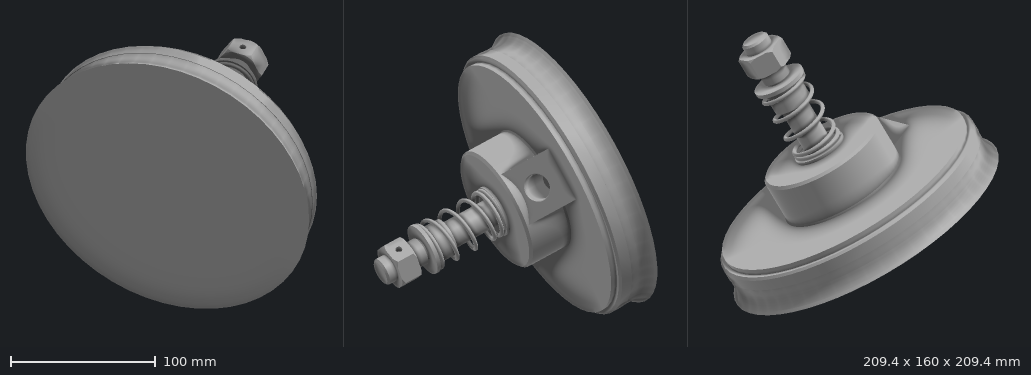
import cadquery as cq
import math


pad_radius = 104.7
edge_radius = 103.0
edge_height = 2.0
waist_radius = 200.0 / 2
waist_start = 11.5
body_radius = 200.9 / 2
body_start = 18.2
body_end = 28.0
body_chamfer = 1.7
plate_radius = 191.8 / 2
plate_top = 32.5

boss_radius = 90.0 / 2
boss_top = 65.3
boss_chamfer = 1.9
foot_flare = 0.8
foot_height = 1.5

port_angle = 120.0
port_width = 40.0
port_reach = 70.0
port_slope = 45.0
port_hole_diameter = 18.6
port_mouth_diameter = 20.0
port_mouth_angle = 45.0
port_hole_depth = 31.5
port_hole_reach = 54.2

stem_radius = 20.0 / 2
stem_end = 160.0
stem_chamfer = 1.5
neck_radius = 17.0 / 2
neck_end = 127.0
flange_radius = 37.5 / 2
flange_start = 122.3
flange_end = 125.2
sleeve_radius = 27.5 / 2
sleeve_start = 105.1
sleeve_step = 117.5
collar_radius = 26.5 / 2
washer_top = 67.6

nut_flats = 30.0
nut_start = 136.3
nut_end = 152.3
nut_turn = 3.0
nut_corner_chamfer = 1.7
nut_hole_diameter = 4.8

spring_radius = 16.8
wire_radius = 1.5
spring_start = 67.2
closed_pitch = 3.4
open_pitch = 15.3
closed_turns_low = 1.5
closed_turns_high = 0.5
blend_turns = 0.5
open_turns = 2.5
points_per_turn = 16


def cylinder(radius, start, end):
    """Cylinder about the Y axis between two heights."""
    return cq.Workplane("XZ", origin=(0, start, 0)).circle(radius).extrude(start - end)


def make_pad():
    """Revolved pad with a flared concave lip, and its backing plate."""
    profile = (
        cq.Workplane("XY")
        .moveTo(0, plate_top)
        .lineTo(plate_radius, plate_top)
        .lineTo(plate_radius, body_end)
        .lineTo(body_radius - body_chamfer, body_end)
        .lineTo(body_radius, body_end - body_chamfer)
        .lineTo(body_radius, body_start)
        .lineTo(waist_radius, body_start)
        .lineTo(waist_radius, waist_start)
        .tangentArcPoint((edge_radius, edge_height), relative=False)
        .lineTo(pad_radius, 0)
        .lineTo(0, 0)
        .close()
    )
    return profile.revolve(360, (0, 0, 0), (0, 1, 0))


def make_boss():
    """Boss with a chamfered rim and a slightly flared foot."""
    boss = cylinder(boss_radius, plate_top, boss_top).faces(">Y").chamfer(boss_chamfer)
    foot = (
        cq.Workplane("XY")
        .moveTo(0, plate_top)
        .lineTo(boss_radius + foot_flare, plate_top)
        .lineTo(boss_radius, plate_top + foot_height)
        .lineTo(0, plate_top + foot_height)
        .close()
        .revolve(360, (0, 0, 0), (0, 1, 0))
    )
    return boss.union(foot)


def turn_to_port(shape):
    """Turn a shape built along +X to the port direction."""
    return shape.rotate((0, 0, 0), (0, 1, 0), -port_angle)


def make_port_block():
    """Block whose inclined face rises from the plate to the boss wall."""
    chord_reach = math.sqrt(boss_radius**2 - (port_width / 2) ** 2)
    block_top = plate_top + (port_reach - chord_reach) * math.tan(math.radians(port_slope))
    block = (
        cq.Workplane("XY")
        .polyline([
            (0, plate_top),
            (port_reach, plate_top),
            (chord_reach, block_top),
            (0, block_top),
        ])
        .close()
        .extrude(port_width / 2, both=True)
    )
    return turn_to_port(block)


def make_port_hole():
    """Blind hole square to the inclined face, with a chamfered mouth."""
    slope = math.radians(port_slope)
    mouth_height = plate_top + (port_reach - port_hole_reach) * math.tan(slope)
    mouth = cq.Plane(
        origin=(port_hole_reach, mouth_height, 0),
        xDir=(0, 0, 1),
        normal=(math.sin(slope), math.cos(slope), 0),
    )
    hole = cq.Workplane(mouth).circle(port_hole_diameter / 2).extrude(-port_hole_depth)
    mouth_depth = (port_mouth_diameter - port_hole_diameter) / 2 / math.tan(math.radians(port_mouth_angle))
    flare = (
        cq.Workplane(mouth)
        .circle(port_mouth_diameter / 2)
        .extrude(-mouth_depth, taper=port_mouth_angle)
    )
    return turn_to_port(hole.union(flare))


def make_stem():
    """Stem with its neck, lower washer and flanged sleeve."""
    stem = cylinder(stem_radius, neck_end, stem_end).faces(">Y").chamfer(stem_chamfer)
    stem = stem.union(cylinder(neck_radius, flange_start, neck_end))
    stem = stem.union(cylinder(stem_radius, boss_top, flange_start))
    stem = stem.union(cylinder(flange_radius, boss_top, washer_top))
    stem = stem.union(cylinder(sleeve_radius, sleeve_start, sleeve_step))
    stem = stem.union(cylinder(collar_radius, sleeve_step, flange_start))
    return stem.union(cylinder(flange_radius, flange_start, flange_end))


def make_nut():
    """Hexagon nut with chamfered corners and a pin hole in its upper flat."""
    corner_radius = nut_flats / math.sqrt(3)
    height = nut_end - nut_start
    nut = (
        cq.Workplane("XZ", origin=(0, nut_start, 0))
        .polygon(6, 2 * corner_radius)
        .extrude(-height)
    )
    rounding = cylinder(corner_radius, nut_start, nut_end)
    rounding = rounding.faces("<Y or >Y").chamfer(nut_corner_chamfer)
    nut = nut.intersect(rounding)
    hole = (
        cq.Workplane("XY", origin=(0, nut_start + height / 2, stem_radius))
        .circle(nut_hole_diameter / 2)
        .extrude(corner_radius)
    )
    return nut.cut(hole).rotate((0, 0, 0), (0, 1, 0), nut_turn)


def spring_height(turn):
    """Wire height after a number of turns; the pitch varies linearly in the blends."""
    height = spring_start
    stages = [
        (closed_turns_low, closed_pitch, closed_pitch),
        (blend_turns, closed_pitch, open_pitch),
        (open_turns, open_pitch, open_pitch),
        (blend_turns, open_pitch, closed_pitch),
        (closed_turns_high, closed_pitch, closed_pitch),
    ]
    for length, first_pitch, last_pitch in stages:
        part = min(max(turn, 0), length)
        height += part * first_pitch + (last_pitch - first_pitch) * part**2 / (2 * length)
        turn -= length
    return height


def make_spring():
    """Compression spring with closed ends, starting on the -X side."""
    turns = closed_turns_low + closed_turns_high + 2 * blend_turns + open_turns
    points = []
    for index in range(round(turns * points_per_turn) + 1):
        turn = index / points_per_turn
        angle = 2 * math.pi * turn
        points.append((
            -spring_radius * math.cos(angle),
            spring_height(turn),
            spring_radius * math.sin(angle),
        ))
    path = cq.Workplane("XY").spline(points)
    wire = cq.Workplane("XY", origin=points[0]).circle(wire_radius)
    return wire.sweep(path, isFrenet=True)


result = make_pad().union(make_boss()).union(make_port_block()).cut(make_port_hole())
result = result.union(make_stem()).union(make_nut()).union(make_spring())